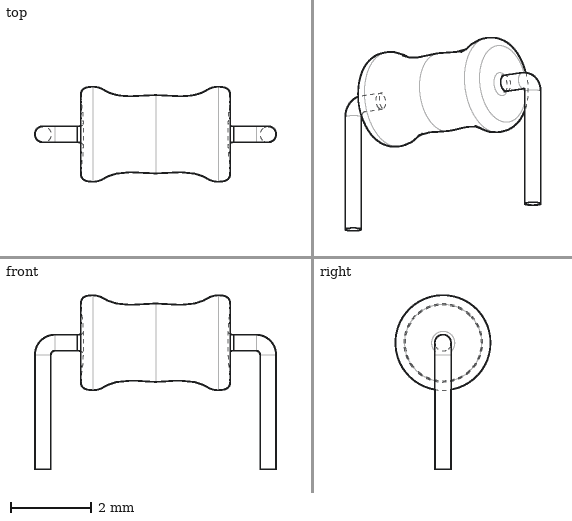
import cadquery as cq

overall_length = 6.0
wire_diameter = 0.4
wire_radius = wire_diameter / 2
bend_radius = 0.3
axis_height = 3.15
lead_offset = overall_length / 2 - wire_radius

body_length = 3.72
end_radius = 2.37 / 2
crown_inset = 0.3
rim_radius = 0.96
waist_radius = 0.95
waist_offset = 0.66
middle_radius = 0.98
flank_radius = 1.055
flank_inset = 0.665
dish_depth = 0.06
collar_base_radius = 0.29
collar_length = 0.09

half_body = body_length / 2
lead_start = half_body + collar_length


def make_body():
    """Revolve the half outline, then mirror it about the middle plane."""
    middle = (0, middle_radius)
    waist = (waist_offset, waist_radius)
    flank = (half_body - flank_inset, flank_radius)
    crown = (half_body - crown_inset, end_radius)
    rim = (half_body, rim_radius)
    dish = (half_body - dish_depth, collar_base_radius)
    collar_tip = (lead_start, wire_radius)
    along_axis = (1, 0)
    inward = (0, -1)
    dish_middle = (
        half_body - 0.6 * dish_depth,
        (rim_radius + collar_base_radius) / 2,
    )
    half = (
        cq.Workplane("XY")
        .moveTo(0, 0)
        .lineTo(*middle)
        .spline([waist, flank, crown], tangents=[along_axis, along_axis], includeCurrent=True)
        .spline([rim], tangents=[along_axis, inward], includeCurrent=True)
        .spline([dish_middle, dish], tangents=[inward, inward], includeCurrent=True)
        .spline([collar_tip], tangents=[inward, along_axis], includeCurrent=True)
        .lineTo(lead_start, 0)
        .close()
        .revolve(360, (0, 0, 0), (1, 0, 0))
    )
    return half.union(half.mirror("YZ")).translate((0, 0, axis_height))


def make_lead(side):
    """Sweep one wire from the collar tip to the lead tip; side is -1 or 1."""
    path = (
        cq.Workplane("XZ")
        .moveTo(side * lead_start, axis_height)
        .lineTo(side * (lead_offset - bend_radius), axis_height)
        .tangentArcPoint((side * lead_offset, axis_height - bend_radius), relative=False)
        .lineTo(side * lead_offset, 0)
    )
    section = cq.Workplane("YZ", origin=(side * lead_start, 0, axis_height)).circle(wire_radius)
    return section.sweep(path)


body = make_body()
leads = [make_lead(side) for side in (-1, 1)]

result = cq.Compound.makeCompound([body.val(), *[lead.val() for lead in leads]])